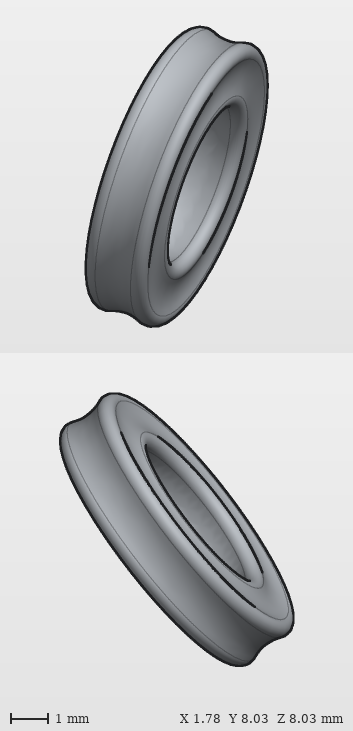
import cadquery as cq
import math

outer_radius = 4.015
section_size = 1.78
lobe_radius = 0.265
groove_depth = 0.13

half_section = section_size / 2
section_centre_radius = outer_radius - half_section
lobe_offset = half_section - lobe_radius

tangent_angle = 2 * math.atan(groove_depth / lobe_offset)
tangent_across = lobe_offset - lobe_radius * math.sin(tangent_angle)
tangent_height = lobe_offset + lobe_radius * math.cos(tangent_angle)
lobe_tip = lobe_offset + lobe_radius * math.sqrt(0.5)
groove_floor = half_section - groove_depth


def section_point(across, height, side):
    """Turn a point of the outward side by quarter turns and place it in the XY plane."""
    for _ in range(side):
        across, height = height, -across
    return across, section_centre_radius + height


def ring_section():
    """Closed outline of four hollows joined by four lobes."""
    outline = cq.Workplane("XY").moveTo(*section_point(-tangent_across, tangent_height, 0))
    for side in range(4):
        middle = section_point(0, groove_floor, side)
        groove_end = section_point(tangent_across, tangent_height, side)
        lobe_middle = section_point(lobe_tip, lobe_tip, side)
        lobe_end = section_point(tangent_height, tangent_across, side)
        outline = outline.threePointArc(middle, groove_end)
        outline = outline.threePointArc(lobe_middle, lobe_end)
    return outline.close()


result = ring_section().revolve(360, (0, 0, 0), (1, 0, 0))